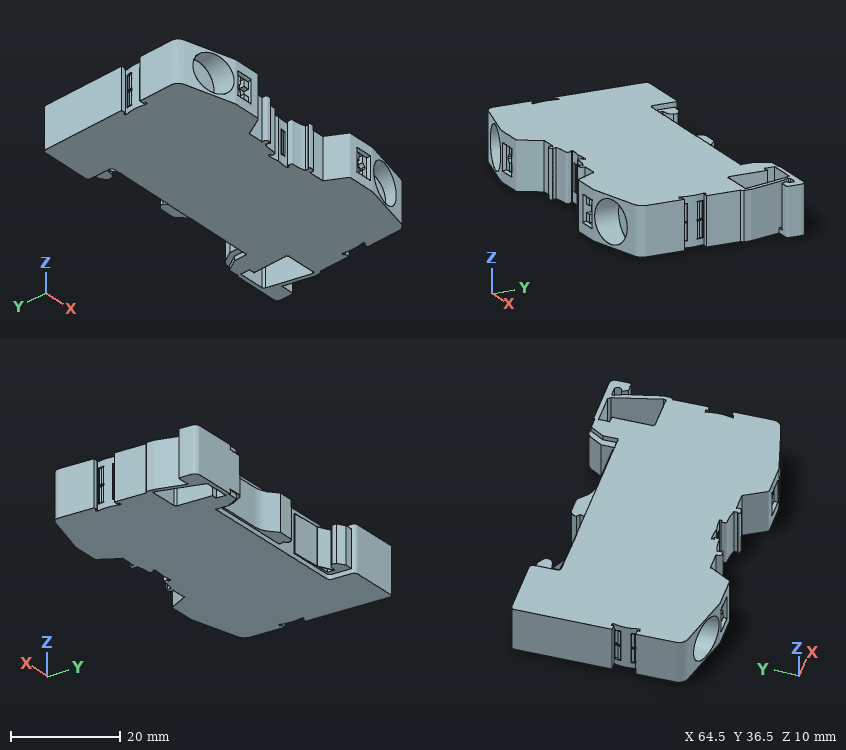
import cadquery as cq


thickness = 10.0
mid_z = thickness / 2
half_width = 31.25
lever_top = 36.5
block_top = 36.4
overlap = 0.5

foot_inner = 12.55
foot_outer = 18.85
foot_slope_end = 3.25
recess_half_width = 10.07
recess_y = 4.45
corner_radius = 2.0
foot_radius = 0.5

leg_tip_y = 3.4
leg_barb_y = 3.85
leg_inner = 5.5
leg_outer = 6.6
leg_tip_inner = 5.28
leg_inner_round = 0.2
leg_outer_round = 0.5
saddle_outer_y = 4.6
saddle_step_x = 4.7
saddle_step_y = 4.83
saddle_flat_x = 2.95
saddle_mid_y = 4.95
saddle_inner_y = 5.02
groove_half_width = 2.15
groove_mouth_radius = 0.35
groove_lip_y = 6.05
groove_undercut_y = 6.5
groove_undercut_half = 2.6
groove_roof_half = 1.95
groove_roof_y = 6.28

notch_bottom = 12.45
notch_top = 16.95
notch_mid = (notch_bottom + notch_top) / 2
notch_lip_x = 30.2
notch_undercut_x = 29.75
notch_wall_x = 30.05
notch_undercut = 0.4

block_right = -18.8
block_radius = 0.75
floor_y = 30.55
tower_left = 18.2
tower_right = 22.2
tower_shoulder_y = 33.5
tower_top_left = 19.85
tower_top = 36.25
seam_y = 23.95

entry_x = 23.54
entry_diameter = 8.74
entry_floor_y = 5.0

socket_outer_x = 18.2
socket_inner_x = 14.55
socket_height = 5.5
socket_rim = 0.27
socket_depth = 1.8
key_recess = 0.7
strip_edge_x = 16.78
strip_notch_x = 17.4
strip_notch_half = 0.85
strip_notch_tip_half = 0.2
corner_edge_x = 15.8
corner_gap_half = 0.85

window_depth = 0.3
window_step_depth = 0.6
roof_window_inner = 0.94
roof_window_step = 1.53
roof_window_outer = 2.0
roof_window_height = 5.5
side_window_inner = 1.0
side_window_step = 1.6
side_window_outer = 2.25
side_window_low = 0.1
side_window_high = 3.6

contact_width = 8.0
hook_neck_x = -17.6
hook_gap_y = 31.1
hook_neck_y = 32.6
hook_under = (-16.4, 32.8)
hook_under_mid = (-15.6, 33.2)
hook_nose_x = -15.3
hook_nose_low = 33.6
hook_nose_high = 34.55
hook_top_x = -16.9
hook_top_y = 35.6
hook_foot_step = (-13.7, 30.9)
hook_foot_x = -7.4
hook_foot_y = 30.75
leaf_thickness = 0.18
leaf_start_y = 32.65
leaf_end = (-14.4, 31.05)

knob_foot_x = -2.6
knob_notch = (-2.3, 31.7)
knob_lip = (-2.9, 32.2)
knob_round_mid = (-2.6, 33.15)
knob_top_left = -1.75
knob_top_right = 1.5
knob_top_y = 33.6
knob_ramp_end = (3.4, 31.85)
knob_run_out_mid = (4.6, 31.25)
knob_tail_start = 6.0
knob_tail_end = 16.0
knob_tail_y = 31.0

cheek_width = 8.0
cheek_left = 16.8
cheek_shoulder_y = 33.4
cheek_slope_end = (18.2, 35.75)
cheek_round_mid = (18.8, 36.3)
cheek_top_left = 19.6

latch_right = 33.25
latch_round_start = 32.15
latch_round_mid = (32.95, 36.15)
latch_round_end_y = 35.35
latch_bottom_y = 32.45
latch_bottom_round = 0.3
strut_outer_top_x = 30.1
frame_right = 31.7
frame_side_top = 26.0
frame_side_bottom = 24.4
frame_bottom_right = 31.3
opening_top = 35.5
opening_top_right = 28.0
opening_strut_top = (28.45, 35.0)
opening_strut_bottom = (30.8, 25.6)
opening_bottom_right = 30.7
opening_bottom = 25.15
opening_corner = 0.35
frame_wall_right = 23.45
frame_wall_top = 33.4

latch_floor = 1.0
slot_top = 35.1
slot_strut_top = (29.2, 34.85)
slot_top_left = 29.4
slot_top_right = 30.95
slot_curl_mid = (31.45, 34.5)
slot_curl_end = (31.1, 33.8)
slot_barb = (30.6, 33.65)
slot_mouth_right = 31.25


def prism(sketch, height=thickness):
    """Extrude an XY outline symmetrically about the mid plane."""
    return sketch.extrude(height / 2, both=True).translate((0, 0, mid_z))


def box_between(x0, x1, y0, y1, z0, z1):
    """Box spanned by two opposite corners."""
    size = (abs(x1 - x0), abs(y1 - y0), abs(z1 - z0))
    centre = ((x0 + x1) / 2, (y0 + y1) / 2, (z0 + z1) / 2)
    return cq.Workplane("XY").box(*size).translate(centre)


def lower_half():
    """Half of the housing on +X, up to the seam height."""
    saddle_mid = ((saddle_step_x + saddle_flat_x) / 2, saddle_mid_y)
    roof_rise = groove_undercut_y - groove_roof_y
    roof_radius = (groove_roof_half**2 + roof_rise**2) / (2 * roof_rise)
    outline = (
        cq.Workplane("XY")
        .moveTo(0, groove_roof_y)
        .radiusArc((groove_roof_half, groove_undercut_y), roof_radius)
        .lineTo(groove_undercut_half, groove_undercut_y)
        .lineTo(groove_undercut_half, groove_lip_y)
        .lineTo(groove_half_width, groove_lip_y)
        .lineTo(groove_half_width, saddle_inner_y + groove_mouth_radius)
        .radiusArc((groove_half_width + groove_mouth_radius, saddle_inner_y), -groove_mouth_radius)
        .lineTo(saddle_flat_x, saddle_inner_y)
        .threePointArc(saddle_mid, (saddle_step_x, saddle_step_y))
        .lineTo(leg_inner, saddle_outer_y)
        .lineTo(leg_inner, leg_barb_y)
        .lineTo(leg_tip_inner, leg_barb_y)
        .lineTo(leg_tip_inner, leg_tip_y + leg_inner_round)
        .radiusArc((leg_tip_inner + leg_inner_round, leg_tip_y), -leg_inner_round)
        .lineTo(leg_outer - leg_outer_round, leg_tip_y)
        .radiusArc((leg_outer, leg_tip_y + leg_outer_round), -leg_outer_round)
        .lineTo(leg_outer, recess_y)
        .lineTo(recess_half_width, recess_y)
        .lineTo(foot_inner, 0)
        .lineTo(foot_outer, 0)
        .lineTo(half_width, foot_slope_end)
        .lineTo(half_width, notch_bottom)
        .lineTo(notch_lip_x, notch_bottom)
        .lineTo(notch_lip_x, notch_bottom - notch_undercut)
        .lineTo(notch_undercut_x, notch_bottom - notch_undercut)
        .lineTo(notch_undercut_x, notch_bottom)
        .threePointArc((notch_wall_x, notch_mid), (notch_undercut_x, notch_top))
        .lineTo(notch_undercut_x, notch_top + notch_undercut)
        .lineTo(notch_lip_x, notch_top + notch_undercut)
        .lineTo(notch_lip_x, notch_top)
        .lineTo(half_width, notch_top)
        .lineTo(half_width, seam_y)
        .lineTo(0, seam_y)
        .close()
    )
    side_corner = cq.selectors.NearestToPointSelector((half_width, foot_slope_end, mid_z))
    foot_corner = cq.selectors.NearestToPointSelector((foot_inner, 0, mid_z))
    solid = prism(outline)
    solid = solid.edges("|Z").edges(side_corner).fillet(corner_radius)
    return solid.edges("|Z").edges(foot_corner).fillet(foot_radius)


def upper_housing():
    """Fuse carrier: tall block at -X, low floor, tower at +X."""
    outline = cq.Workplane("XY").polyline([
        (-half_width, seam_y),
        (tower_right, seam_y),
        (tower_right, tower_top),
        (tower_top_left, tower_top),
        (tower_left, tower_shoulder_y),
        (tower_left, floor_y),
        (block_right, floor_y),
        (block_right, block_top),
        (-half_width, block_top),
    ]).close()
    solid = prism(outline)
    for corner in [(-half_width, block_top), (block_right, block_top), (block_right, floor_y)]:
        nearest = cq.selectors.NearestToPointSelector((*corner, mid_z))
        solid = solid.edges("|Z").edges(nearest).fillet(block_radius)
    return solid


def cable_entry(side):
    """Blind round hole along Y, opening in the sloped foot."""
    hole = cq.Workplane("XZ").center(side * entry_x, mid_z).circle(entry_diameter / 2)
    return hole.extrude(-entry_floor_y)


def keyed_socket(side):
    """Pocket in the foot with tapered mouth, holding a notched strip and two corner blocks."""
    half = socket_height / 2
    inner_half = half - socket_rim
    pocket_outer_x = socket_outer_x - socket_rim
    mouth = (
        cq.Workplane("XZ")
        .center((socket_inner_x + socket_outer_x) / 2, 0)
        .rect(socket_outer_x - socket_inner_x, socket_height)
        .workplane(offset=-key_recess)
        .center(-socket_rim / 2, 0)
        .rect(pocket_outer_x - socket_inner_x, 2 * inner_half)
        .loft(ruled=True)
    )
    pocket = box_between(socket_inner_x, pocket_outer_x, 0, socket_depth, -inner_half, inner_half)
    strip = (
        cq.Workplane("XZ", origin=(0, key_recess, 0))
        .polyline([
            (pocket_outer_x, -inner_half),
            (strip_edge_x, -inner_half),
            (strip_edge_x, -strip_notch_half),
            (strip_notch_x, -strip_notch_tip_half),
            (strip_notch_x, strip_notch_tip_half),
            (strip_edge_x, strip_notch_half),
            (strip_edge_x, inner_half),
            (pocket_outer_x, inner_half),
        ])
        .close()
        .extrude(key_recess - socket_depth)
    )
    cut = mouth.union(pocket).cut(strip)
    for z_side in (-1, 1):
        block = box_between(
            socket_inner_x, corner_edge_x, key_recess, socket_depth,
            z_side * corner_gap_half, z_side * inner_half,
        )
        cut = cut.cut(block)
    if side < 0:
        cut = cut.mirror("YZ")
    return cut.translate((0, 0, mid_z))


def roof_window(side):
    """Two-level window in the groove roof."""
    z0 = mid_z - roof_window_height / 2
    z1 = mid_z + roof_window_height / 2
    shallow_y = groove_roof_y + window_depth
    deep_y = groove_roof_y + window_step_depth
    shallow = box_between(
        side * roof_window_inner, side * roof_window_outer, groove_lip_y, shallow_y, z0, z1)
    deep = box_between(
        side * roof_window_step, side * roof_window_outer, groove_lip_y, deep_y, z0, z1)
    return shallow.union(deep)


def side_window(side, y_side, z_side):
    """Two-level window in the wall of a side notch."""
    z0 = mid_z + z_side * side_window_low
    z1 = mid_z + z_side * side_window_high
    y_inner = notch_mid + y_side * side_window_inner
    y_step = notch_mid + y_side * side_window_step
    y_outer = notch_mid + y_side * side_window_outer
    x_open = side * notch_lip_x
    x_shallow = side * (notch_wall_x - window_depth)
    x_deep = side * (notch_wall_x - window_step_depth)
    shallow = box_between(x_open, x_shallow, y_inner, y_outer, z0, z1)
    deep = box_between(x_open, x_deep, y_step, y_outer, z0, z1)
    return shallow.union(deep)


def hook_contact():
    """Hooked contact standing beside the tall block, with its thin leaf spring."""
    base_y = floor_y - overlap
    hook = (
        cq.Workplane("XY")
        .moveTo(block_right - overlap, base_y)
        .lineTo(hook_foot_x, base_y)
        .lineTo(hook_foot_x, hook_foot_y)
        .lineTo(*hook_foot_step)
        .lineTo(hook_neck_x, hook_gap_y)
        .lineTo(hook_neck_x, hook_neck_y)
        .lineTo(*hook_under)
        .threePointArc(hook_under_mid, (hook_nose_x, hook_nose_low))
        .lineTo(hook_nose_x, hook_nose_high)
        .lineTo(hook_top_x, hook_top_y)
        .lineTo(block_right - overlap, hook_top_y)
        .close()
    )
    leaf_end_x, leaf_end_y = leaf_end
    leaf = cq.Workplane("XY").polyline([
        (hook_neck_x, leaf_start_y),
        (leaf_end_x, leaf_end_y),
        (leaf_end_x, leaf_end_y - leaf_thickness),
        (hook_neck_x, leaf_start_y - leaf_thickness),
    ]).close()
    return prism(hook, contact_width).union(prism(leaf, contact_width))


def knob_contact():
    """Rounded contact knob in the middle with a flat tail towards the lever."""
    base_y = floor_y - overlap
    knob = (
        cq.Workplane("XY")
        .moveTo(knob_foot_x, base_y)
        .lineTo(knob_foot_x, floor_y)
        .lineTo(*knob_notch)
        .lineTo(*knob_lip)
        .threePointArc(knob_round_mid, (knob_top_left, knob_top_y))
        .lineTo(knob_top_right, knob_top_y)
        .lineTo(*knob_ramp_end)
        .threePointArc(knob_run_out_mid, (knob_tail_start, knob_tail_y))
        .lineTo(knob_tail_end, knob_tail_y)
        .lineTo(knob_tail_end, base_y)
        .close()
    )
    return prism(knob, contact_width)


def lever_cheek():
    """Narrower hinge cheek wrapped around the tower."""
    base_y = floor_y - overlap
    right = tower_right + overlap
    cheek = (
        cq.Workplane("XY")
        .moveTo(cheek_left, base_y)
        .lineTo(cheek_left, cheek_shoulder_y)
        .lineTo(*cheek_slope_end)
        .threePointArc(cheek_round_mid, (cheek_top_left, lever_top))
        .lineTo(right, lever_top)
        .lineTo(right, base_y)
        .close()
    )
    return prism(cheek, cheek_width)


def lever_frame():
    """Outer body of the lever frame and latch."""
    frame = (
        cq.Workplane("XY")
        .moveTo(tower_right, lever_top)
        .lineTo(latch_round_start, lever_top)
        .threePointArc(latch_round_mid, (latch_right, latch_round_end_y))
        .lineTo(latch_right, latch_bottom_y + latch_bottom_round)
        .radiusArc((latch_right - latch_bottom_round, latch_bottom_y), latch_bottom_round)
        .lineTo(strut_outer_top_x, latch_bottom_y)
        .lineTo(frame_right, frame_side_top)
        .lineTo(frame_right, frame_side_bottom)
        .lineTo(frame_bottom_right, seam_y)
        .lineTo(tower_right, seam_y)
        .close()
    )
    return prism(frame)


def lever_opening():
    """Four-sided window through the lever frame, bounded by the slanted strut."""
    return prism(cq.Workplane("XY").polyline([
        (tower_right, opening_top),
        (opening_top_right, opening_top),
        opening_strut_top,
        opening_strut_bottom,
        (opening_bottom_right, opening_bottom),
        (frame_wall_right + opening_corner, opening_bottom),
        (frame_wall_right, opening_bottom + opening_corner),
        (frame_wall_right, frame_wall_top),
        (tower_right, frame_wall_top),
    ]).close())


def latch_slot():
    """Curled slot between the strut and the latch end, open on top and at its mouth."""
    return (
        cq.Workplane("XY", origin=(0, 0, latch_floor))
        .moveTo(strut_outer_top_x, latch_bottom_y)
        .lineTo(*slot_strut_top)
        .lineTo(slot_top_left, slot_top)
        .lineTo(slot_top_right, slot_top)
        .threePointArc(slot_curl_mid, slot_curl_end)
        .lineTo(*slot_barb)
        .lineTo(slot_mouth_right, latch_bottom_y)
        .close()
        .extrude(thickness - latch_floor)
    )


def lever():
    """Swing lever: hinge cheek, open frame and spring latch at the end."""
    return lever_cheek().union(lever_frame()).cut(lever_opening()).cut(latch_slot())


right_half = lower_half()
result = right_half.union(right_half.mirror("YZ")).union(upper_housing())
for x_side in (-1, 1):
    result = result.cut(cable_entry(x_side))
    result = result.cut(keyed_socket(x_side))
    result = result.cut(roof_window(x_side))
    for y_side in (-1, 1):
        for z_side in (-1, 1):
            result = result.cut(side_window(x_side, y_side, z_side))
result = result.union(hook_contact()).union(knob_contact()).union(lever())